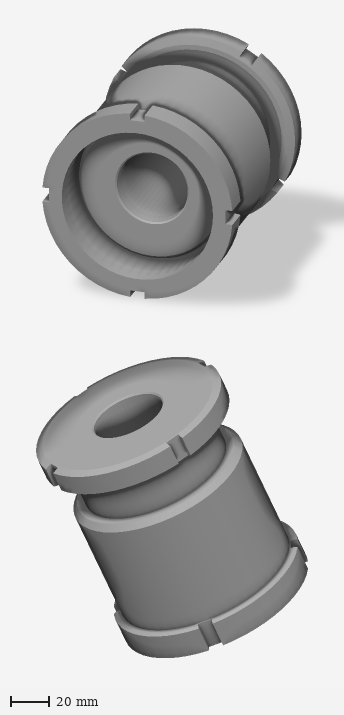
import cadquery as cq

length = 119.8
front = -length / 2
back = length / 2

shank_radius = 40.1
neck_radius = 38.5
end_chamfer = shank_radius - neck_radius
shank_chamfer_length = 1.3
neck_length = 1.9
stem_end_depth = 25.0
bore_radius = 19.4
bore_chamfer = 0.8
stem_flange_radius = 52.5
stem_flange_thickness = 13.9
rim_bevel_radial = 4.2
rim_bevel_axial = 1.3
recess_radius = 45.5
recess_depth = 1.4
stem_slot_angle = 31.1

sleeve_radius = 47.9
sleeve_length = 82.1
sleeve_chamfer = 3.2
sleeve_flange_radius = 52.3
sleeve_flange_thickness = 15.0
flange_bevel_radial = 1.9
flange_bevel_axial = 0.8
counterbore_radius = 41.5
counterbore_depth = 30.0

slot_count = 4
slot_width = 7.9
slot_depth = 3.8


def turned(profile):
    """Revolve a closed list of (radius, y) points about the Y axis."""
    return cq.Workplane("XY").polyline(profile).close().revolve(360, (0, 0, 0), (0, 1, 0))


def cut_slots(body, rim_radius, y_start, y_end, start_angle):
    """Cut the wrench slots into a flange rim between two Y positions."""
    floor_radius = rim_radius - slot_depth
    slot = cq.Workplane("XY").box(
        slot_width, y_end - y_start, 2 * slot_depth, centered=(True, False, False)
    ).translate((0, y_start, floor_radius))
    for index in range(slot_count):
        angle = start_angle + index * 360 / slot_count
        body = body.cut(slot.rotate((0, 0, 0), (0, 1, 0), angle))
    return body


def make_stem():
    end_face = front + stem_end_depth
    flange_front = back - stem_flange_thickness
    neck_front = flange_front - neck_length
    rim_face_radius = stem_flange_radius - rim_bevel_radial
    stem = turned([
        (bore_radius + bore_chamfer, end_face),
        (shank_radius - end_chamfer, end_face),
        (shank_radius, end_face + end_chamfer),
        (shank_radius, neck_front - shank_chamfer_length),
        (neck_radius, neck_front),
        (neck_radius, flange_front + recess_depth),
        (recess_radius, flange_front + recess_depth),
        (recess_radius, flange_front),
        (rim_face_radius, flange_front),
        (stem_flange_radius, flange_front + rim_bevel_axial),
        (stem_flange_radius, back - rim_bevel_axial),
        (rim_face_radius, back),
        (bore_radius + bore_chamfer, back),
        (bore_radius, back - bore_chamfer),
        (bore_radius, end_face + bore_chamfer),
    ])
    return cut_slots(stem, stem_flange_radius, flange_front, back, stem_slot_angle)


def make_sleeve():
    sleeve_back = front + sleeve_length
    flange_back = front + sleeve_flange_thickness
    shoulder = front + counterbore_depth
    sleeve = turned([
        (counterbore_radius, front),
        (sleeve_flange_radius, front),
        (sleeve_flange_radius, flange_back - flange_bevel_axial),
        (sleeve_flange_radius - flange_bevel_radial, flange_back),
        (sleeve_radius, flange_back),
        (sleeve_radius, sleeve_back - sleeve_chamfer),
        (sleeve_radius - sleeve_chamfer, sleeve_back),
        (shank_radius, sleeve_back),
        (shank_radius, shoulder),
        (counterbore_radius, shoulder),
    ])
    return cut_slots(sleeve, sleeve_flange_radius, front, flange_back, 0)


stem = make_stem()
sleeve = make_sleeve()
result = cq.Compound.makeCompound([stem.val(), sleeve.val()])